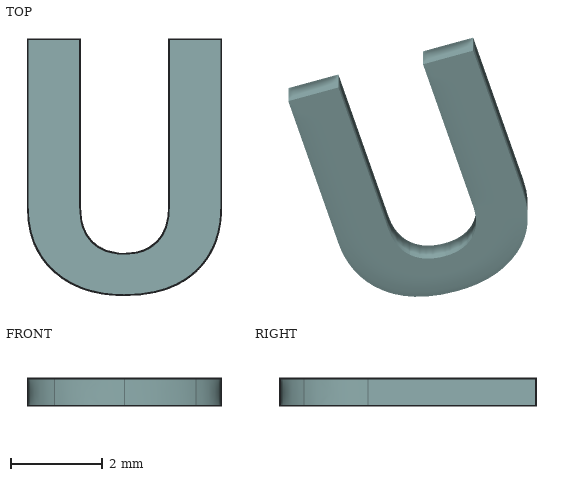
import cadquery as cq

width = 4.24
length = 5.61
thickness = 0.6

leg_width = 1.15
leg_straight = 3.69
inner_length = 4.70
bottom_x = -0.01

outer_left_joint_inset = 0.58
outer_right_joint_inset = 0.56
outer_joint_length = 5.09
inner_joint_inset = 0.26
inner_joint_length = 4.44

open_end_y = length / 2
leg_end_y = open_end_y - leg_straight
outer_x = width / 2
inner_x = outer_x - leg_width
outer_bottom_y = open_end_y - length
inner_bottom_y = open_end_y - inner_length
outer_joint_y = open_end_y - outer_joint_length
inner_joint_y = open_end_y - inner_joint_length


def quarter_bend(side_x, joint_x, joint_y, bottom_y):
    """Two quadratic curves from the end of a leg side down to the bottom of the bend.

    The joint lies midway between the two off-curve control points, so the
    curves meet smoothly, vertical at the leg and horizontal at the bottom.
    """
    leg_end = (side_x, leg_end_y)
    side_control = (side_x, 2 * joint_y - bottom_y)
    joint = (joint_x, joint_y)
    bottom_control = (2 * joint_x - side_x, bottom_y)
    bottom = (bottom_x, bottom_y)
    return [[leg_end, side_control, joint], [joint, bottom_control, bottom]]


def reverse(curves):
    """The same curves, run from the bottom of the bend up to the leg."""
    return [points[::-1] for points in reversed(curves)]


def add_curves(outline, curves):
    for points in curves:
        outline = outline.bezier(points)
    return outline


def u_outline():
    outer_left = quarter_bend(-outer_x, -outer_x + outer_left_joint_inset, outer_joint_y, outer_bottom_y)
    outer_right = quarter_bend(outer_x, outer_x - outer_right_joint_inset, outer_joint_y, outer_bottom_y)
    inner_left = quarter_bend(-inner_x, -inner_x + inner_joint_inset, inner_joint_y, inner_bottom_y)
    inner_right = quarter_bend(inner_x, inner_x - inner_joint_inset, inner_joint_y, inner_bottom_y)

    outline = cq.Workplane("XY").moveTo(-outer_x, open_end_y).lineTo(-outer_x, leg_end_y)
    outline = add_curves(outline, outer_left + reverse(outer_right))
    outline = outline.lineTo(outer_x, open_end_y)

    outline = outline.lineTo(inner_x, open_end_y).lineTo(inner_x, leg_end_y)
    outline = add_curves(outline, inner_right + reverse(inner_left))
    outline = outline.lineTo(-inner_x, open_end_y)
    return outline.close()


result = u_outline().extrude(thickness)